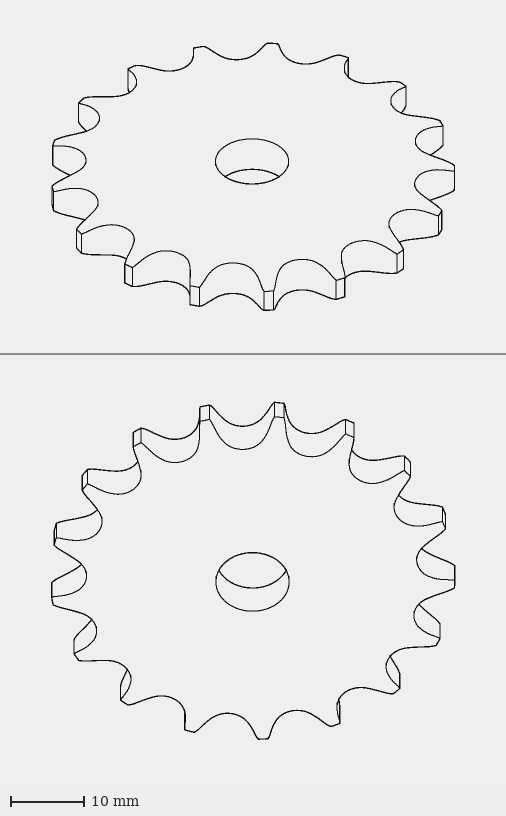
import cadquery as cq
import math

tooth_count = 17
chain_pitch = 9.525
roller_diameter = 6.35
tip_diameter = 55.3
thickness = 5.3
bore_diameter = 10.0

side_round_radius = 10.0
side_round_depth = 1.0

seating_clearance = 0.038
seating_factor = 1.005
working_offset = 0.8 * roller_diameter
topping_offset = 1.4 * roller_diameter
seating_angle = math.radians(35 + 60 / tooth_count)
working_angle = math.radians(18 - 56 / tooth_count)
topping_angle = math.radians(17 - 64 / tooth_count)
half_step = math.pi / tooth_count

pitch_radius = chain_pitch / 2 / math.sin(half_step)
tip_radius = tip_diameter / 2
seating_radius = seating_factor * roller_diameter / 2 + seating_clearance
working_radius = working_offset + seating_radius
topping_radius = (
    working_offset * math.cos(working_angle)
    + topping_offset * math.cos(topping_angle)
    - working_radius
)
flank_length = topping_offset * math.sin(topping_angle) - working_offset * math.sin(working_angle)
cutter_margin = 1.0


def polar(center, radius, angle):
    """Point at a radius and angle around a center."""
    return (center[0] + radius * math.cos(angle), center[1] + radius * math.sin(angle))


def mirrored(point):
    """Reflection of a point across the gap's centre line."""
    return (-point[0], point[1])


def make_blank():
    """Solid disc with its rim rounded off on both faces."""
    half_thickness = thickness / 2
    half_tip = half_thickness - side_round_depth
    arc_center = (
        tip_radius - math.sqrt(side_round_radius**2 - (side_round_radius - side_round_depth) ** 2),
        half_thickness - side_round_radius,
    )
    face_radius = arc_center[0]
    end_angle = math.atan2(half_tip - arc_center[1], tip_radius - face_radius)
    middle = polar(arc_center, side_round_radius, (end_angle + math.pi / 2) / 2)
    return (
        cq.Workplane("XZ")
        .moveTo(0, -half_thickness)
        .lineTo(face_radius, -half_thickness)
        .threePointArc((middle[0], -middle[1]), (tip_radius, -half_tip))
        .lineTo(tip_radius, half_tip)
        .threePointArc(middle, (face_radius, half_thickness))
        .lineTo(0, half_thickness)
        .close()
        .revolve(360, (0, 0, 0), (0, 1, 0))
    )


def make_gap_cutter():
    """Prism that cuts one tooth gap, centred on the +Y axis."""
    roller_center = (0, pitch_radius)

    working_center = polar(roller_center, working_offset, seating_angle)
    seating_end = polar(working_center, working_radius, math.pi + seating_angle)
    working_middle = polar(working_center, working_radius, math.pi + seating_angle - working_angle / 2)
    flank_direction = math.pi + seating_angle - working_angle
    working_end = polar(working_center, working_radius, flank_direction)

    flank_end = polar(working_end, flank_length, flank_direction - math.pi / 2)

    topping_center = polar(roller_center, topping_offset, math.pi + half_step)
    center_distance = math.hypot(*topping_center)
    tip_offset_angle = math.acos(
        (center_distance**2 + tip_radius**2 - topping_radius**2) / (2 * center_distance * tip_radius)
    )
    tip_angle = math.atan2(topping_center[1], topping_center[0]) - tip_offset_angle
    tip_corner = polar((0, 0), tip_radius, tip_angle)
    topping_start = math.atan2(flank_end[1] - topping_center[1], flank_end[0] - topping_center[0])
    topping_stop = math.atan2(tip_corner[1] - topping_center[1], tip_corner[0] - topping_center[0])
    topping_middle = polar(topping_center, topping_radius, (topping_start + topping_stop) / 2)

    outer_corner = polar((0, 0), tip_radius + cutter_margin, tip_angle)
    gap_bottom = (0, pitch_radius - seating_radius)
    return (
        cq.Workplane("XY")
        .workplane(offset=-thickness / 2)
        .moveTo(*outer_corner)
        .lineTo(*tip_corner)
        .threePointArc(topping_middle, flank_end)
        .lineTo(*working_end)
        .threePointArc(working_middle, seating_end)
        .threePointArc(gap_bottom, mirrored(seating_end))
        .threePointArc(mirrored(working_middle), mirrored(working_end))
        .lineTo(*mirrored(flank_end))
        .threePointArc(mirrored(topping_middle), mirrored(tip_corner))
        .lineTo(*mirrored(outer_corner))
        .close()
        .extrude(thickness)
    )


def cut_gaps(blank):
    """Cut the ring of tooth gaps, one of them centred on +Y."""
    gap_cutter = make_gap_cutter()
    toothed = blank
    for index in range(tooth_count):
        angle = index * 360 / tooth_count
        toothed = toothed.cut(gap_cutter.rotate((0, 0, 0), (0, 0, 1), angle))
    return toothed


def cut_bore(body):
    """Cut the plain through bore."""
    bore = cq.Workplane("XY").circle(bore_diameter / 2).extrude(thickness, both=True)
    return body.cut(bore)


result = cut_bore(cut_gaps(make_blank()))